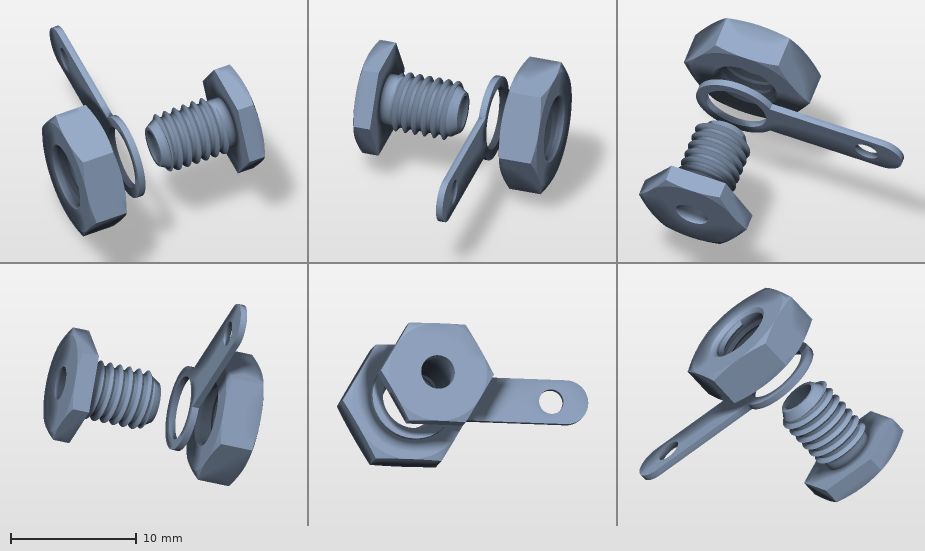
import cadquery as cq
import math

OVERALL_LENGTH = 19.44

OVERSHOOT = 0.2

THREAD_LENGTH = 4.85
BOLT_FULL_TURNS = 6
PITCH = THREAD_LENGTH / BOLT_FULL_TURNS
THREAD_BASE = 0.52
THREAD_ROOT_RADIUS = 2.06
THREAD_CREST_RADIUS = 2.43
ROOT_OVERLAP = 0.02
BOLT_RIDGE_TURNS = 1 + BOLT_FULL_TURNS + 0.25

NUT_WIDTH = 9.27
NUT_THICKNESS = 3.17
AXIS_X = OVERALL_LENGTH - NUT_WIDTH / (2 * math.cos(math.pi / 6))
NUT_CORNER_DROP = 0.27
NUT_MOUTH_RADIUS = 2.72
NUT_BORE_RADIUS = 2.41
NUT_MOUTH_DEPTH = NUT_MOUTH_RADIUS - NUT_BORE_RADIUS
NUT_RIDGE_TURNS = 2.5
NUT_RIDGE_START = 0.6

TAG_START = 4.86
TAG_THICKNESS = 0.55
TAG_RING_RADIUS = 3.4
TAG_RING_HOLE_RADIUS = 2.57
TAG_STRIP_WIDTH = 3.55
TAG_HOLE_RADIUS = 1.0
TAG_HOLE_X = 3.0

BOLT_TIP = 7.62
BOLT_LENGTH = 7.93
BOLT_HEAD_WIDTH = BOLT_LENGTH
BOLT_HEAD_THICKNESS = 1.6
BOLT_CORNER_DROP = 0.23
BOLT_BORE_RADIUS = 1.36
BOLT_POINT_LENGTH = 0.66
BOLT_POINT_RADIUS = 1.65
BOLT_END = BOLT_TIP + BOLT_LENGTH
HEAD_START = BOLT_END - BOLT_HEAD_THICKNESS
THREAD_START = BOLT_TIP + BOLT_POINT_LENGTH


def section(y):
    """Sketch plane across the axis at height y, extruding towards +Y."""
    return cq.Workplane(cq.Plane((AXIS_X, y, 0), xDir=(1, 0, 0), normal=(0, 1, 0)))


def cylinder(start, end, radius):
    return section(start).circle(radius).extrude(end - start)


def turned(profile):
    """Revolve a closed (radius, y) profile about the common axis."""
    half = cq.Workplane("XY", origin=(AXIS_X, 0, 0)).polyline(profile).close()
    return half.revolve(360, (0, 0), (0, 1))


def hexagon(start, end, width, corner_drop, chamfer_start):
    """Hexagonal prism with conical corner chamfers at its far end and optionally its near end."""
    flat_radius = width / 2
    corner_radius = flat_radius / math.cos(math.pi / 6)
    prism = section(start).polygon(6, 2 * corner_radius).extrude(end - start)
    near = [(flat_radius, start), (corner_radius, start + corner_drop)]
    if not chamfer_start:
        near = [(corner_radius + OVERSHOOT, start), (corner_radius + OVERSHOOT, end - corner_drop)]
    far = [(corner_radius, end - corner_drop), (flat_radius, end)]
    envelope = turned([(0, start)] + near + far + [(0, end)])
    return prism.intersect(envelope)


def thread_ridge(first_y, turns, base_radius, crest_radius, start, end):
    """Helical ridge from base to crest radius that starts on +X at first_y, trimmed flat at both ends."""
    path = cq.Wire.makeHelix(PITCH, turns * PITCH, base_radius, lefthand=True)
    path = path.rotate(cq.Vector(0, 0, 0), cq.Vector(1, 0, 0), -90)
    path = path.translate(cq.Vector(AXIS_X, first_y, 0))
    height = crest_radius - base_radius
    root_radius = base_radius - math.copysign(ROOT_OVERLAP, height)
    half_root = (THREAD_BASE / 2) * (1 + ROOT_OVERLAP / abs(height))
    profile = [(root_radius, -half_root), (crest_radius, 0), (root_radius, half_root)]
    tooth = cq.Workplane("XY", origin=(AXIS_X, first_y, 0)).polyline(profile).close()
    ridge = tooth.sweep(cq.Workplane(obj=path), isFrenet=True)
    return ridge.intersect(cylinder(start, end, max(base_radius, crest_radius) + OVERSHOOT))


def make_bolt():
    head = hexagon(HEAD_START, BOLT_END, BOLT_HEAD_WIDTH, BOLT_CORNER_DROP, chamfer_start=False)
    shank = turned([
        (0, BOLT_TIP),
        (BOLT_POINT_RADIUS, BOLT_TIP),
        (THREAD_ROOT_RADIUS, THREAD_START),
        (THREAD_ROOT_RADIUS, HEAD_START),
        (0, HEAD_START),
    ])
    ridge = thread_ridge(
        THREAD_START - PITCH,
        BOLT_RIDGE_TURNS,
        THREAD_ROOT_RADIUS,
        THREAD_CREST_RADIUS,
        THREAD_START,
        THREAD_START + THREAD_LENGTH,
    )
    bore = cylinder(BOLT_TIP, BOLT_END, BOLT_BORE_RADIUS)
    return head.union(shank).union(ridge).cut(bore)


def make_tag():
    ring = cylinder(TAG_START, TAG_START + TAG_THICKNESS, TAG_RING_RADIUS)
    tip_radius = TAG_STRIP_WIDTH / 2
    strip = (
        cq.Workplane("XZ", origin=(0, TAG_START, 0))
        .moveTo(AXIS_X, -tip_radius)
        .lineTo(tip_radius, -tip_radius)
        .threePointArc((0, 0), (tip_radius, tip_radius))
        .lineTo(AXIS_X, tip_radius)
        .close()
        .extrude(-TAG_THICKNESS)
    )
    ring_hole = cylinder(TAG_START, TAG_START + TAG_THICKNESS, TAG_RING_HOLE_RADIUS)
    wire_hole = cylinder(TAG_START, TAG_START + TAG_THICKNESS, TAG_HOLE_RADIUS)
    wire_hole = wire_hole.translate((TAG_HOLE_X - AXIS_X, 0, 0))
    return ring.union(strip).cut(ring_hole).cut(wire_hole)


def make_nut():
    body = hexagon(0, NUT_THICKNESS, NUT_WIDTH, NUT_CORNER_DROP, chamfer_start=True)
    bore = turned([
        (0, 0),
        (NUT_MOUTH_RADIUS, 0),
        (NUT_BORE_RADIUS, NUT_MOUTH_DEPTH),
        (NUT_BORE_RADIUS, NUT_THICKNESS - NUT_MOUTH_DEPTH),
        (NUT_MOUTH_RADIUS, NUT_THICKNESS),
        (0, NUT_THICKNESS),
    ])
    ridge = thread_ridge(
        NUT_RIDGE_START,
        NUT_RIDGE_TURNS,
        NUT_BORE_RADIUS,
        THREAD_ROOT_RADIUS,
        NUT_MOUTH_DEPTH,
        NUT_THICKNESS - NUT_MOUTH_DEPTH,
    )
    ridge = ridge.rotate((AXIS_X, 0, 0), (AXIS_X, 1, 0), -90)
    return body.cut(bore).union(ridge)


bolt = make_bolt()
tag = make_tag()
nut = make_nut()
result = cq.Compound.makeCompound([bolt.val(), tag.val(), nut.val()])